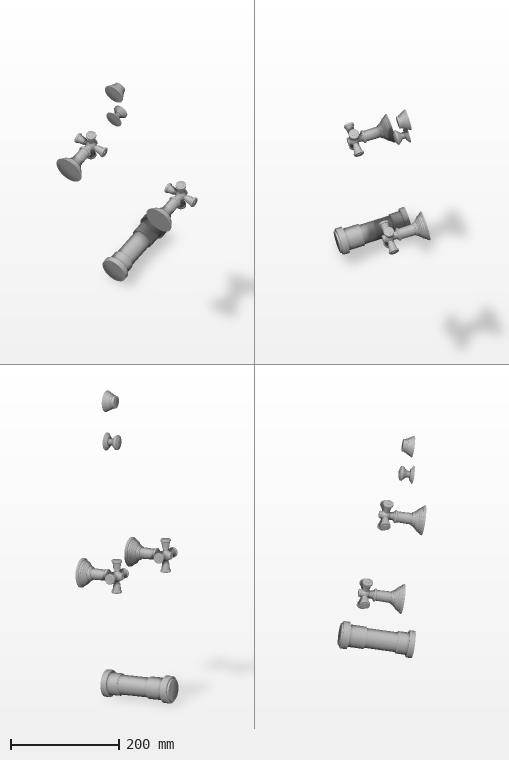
import cadquery as cq

OVERALL_WIDTH = 267.41
OVERALL_HEIGHT = 579.07
HANDLE_SPACING = 203.2
BARREL_TO_HANDLES = 228.6
HANDLES_TO_BUTTON = 228.6
BUTTON_TO_CONE = 76.2

BARREL_LENGTH = 138.3
FLANGE_RADIUS = 25.6
FRONT_FLANGE_RADIUS = 25.5
COLLAR_RADIUS = 20.9
TUBE_RADIUS = 18.5
FRONT_FLANGE_LENGTH = 11.0
FRONT_COLLAR_END = 32.0
REAR_COLLAR_START = 91.0
REAR_FLANGE_START = 122.3
REAR_FLANGE_END = 135.2
BARREL_CHAMFER = 1.3

CONE_HEIGHT = 20.0
CONE_STUB_RADIUS = 11.6
CONE_STUB_START = 15.0
CONE_SHOULDER_RADIUS = 13.2
CONE_TOP_RADIUS = 14.2
CONE_TOP = 11.8
CONE_LIP = 1.0

BUTTON_BASE_RADIUS = 16.8
BUTTON_BASE_LIP = 0.9
BUTTON_BASE_TOP_RADIUS = 10.5
BUTTON_BASE_TOP = 6.2
BUTTON_NECK_RADIUS = 6.4
BUTTON_NECK_END = 14.0
BUTTON_HEAD_START_RADIUS = 7.6
BUTTON_RIM_START = 20.6
BUTTON_RIM_END = 24.0
BUTTON_RIM_RADIUS = 13.8
BUTTON_CROWN_RADIUS = 10.8
BUTTON_CROWN_START = 25.4
BUTTON_TIP_RADIUS = 6.2
BUTTON_HEIGHT = 27.0

BASE_RADIUS = 27.8
BASE_LIP = 1.6
BASE_SHOULDER_RADIUS = 25.6
BASE_SHOULDER = 4.4
STEP_RADIUS = 24.0
STEP_END = 8.0
STEP_BEVEL = 1.2
UPPER_STEP_RADIUS = 22.0
UPPER_STEP_END = 10.2
FLARE_START_RADIUS = 20.6
FLARE_START = 11.0
FLARE_END_RADIUS = 15.2
FLARE_END = 16.8
BAND_RADIUS = 14.0
BAND_BEVEL_START = 18.8
BAND_TOP_RADIUS = 13.2
BAND_END = 20.5
FOOT_RADIUS = 12.3
FOOT_END = 22.5

STEM_BOTTOM_RADIUS = 10.7
STEM_TOP_RADIUS = 10.1
CUFF_RADIUS = 12.2
CUFF_START = 50.4
CUFF_END = 55.0
CUFF_CHAMFER = 1.2
CUFF_TAPER_RADIUS = 9.0
CUFF_TAPER_END = 57.0
STEM_NECK_RADIUS = 7.4

HUB_RADIUS = 10.5
HUB_CENTRE = 71.7
HUB_CAP_RADIUS = 7.0
HANDLE_LENGTH = 83.8
HUB_CAP_CHAMFER = 1.0

ARM_REACH = (OVERALL_WIDTH - HANDLE_SPACING) / 2
ARM_NECK_RADIUS = 4.8
ARM_NECK_END = 13.2
ARM_BEAD_RADIUS = 6.3
ARM_BEAD_END = 15.2
ARM_START_RADIUS = 6.6
ARM_END_RADIUS = 8.0
ARM_RIM_START = 26.4
ARM_RIM_RADIUS = 9.7
ARM_RIM_END = 31.2
ARM_RIM_CHAMFER = 0.9
ARM_TIP_RADIUS = 4.4
ARM_COUNT = 4

BARREL_Z = FLANGE_RADIUS - OVERALL_HEIGHT / 2
HANDLE_Z = BARREL_Z + BARREL_TO_HANDLES
BUTTON_Z = HANDLE_Z + HANDLES_TO_BUTTON
CONE_Z = BUTTON_Z + BUTTON_TO_CONE
CONE_BASE_RADIUS = OVERALL_HEIGHT / 2 - CONE_Z


def turned(*points):
    """Solid of revolution about +Y; points are (radius, distance along the axis)."""
    start = (0, points[0][1])
    end = (0, points[-1][1])
    half_profile = cq.Workplane("ZY").polyline([start, *points, end]).close()
    return half_profile.revolve(360, (0, 0, 0), (0, 1, 0))


def make_barrel():
    return turned(
        (FRONT_FLANGE_RADIUS, 0),
        (FRONT_FLANGE_RADIUS, FRONT_FLANGE_LENGTH - BARREL_CHAMFER),
        (FRONT_FLANGE_RADIUS - BARREL_CHAMFER, FRONT_FLANGE_LENGTH),
        (COLLAR_RADIUS, FRONT_FLANGE_LENGTH),
        (COLLAR_RADIUS, FRONT_COLLAR_END - BARREL_CHAMFER),
        (COLLAR_RADIUS - BARREL_CHAMFER, FRONT_COLLAR_END),
        (TUBE_RADIUS, FRONT_COLLAR_END),
        (TUBE_RADIUS, REAR_COLLAR_START),
        (COLLAR_RADIUS, REAR_COLLAR_START),
        (COLLAR_RADIUS, REAR_FLANGE_START),
        (FLANGE_RADIUS, REAR_FLANGE_START),
        (FLANGE_RADIUS, REAR_FLANGE_END - BARREL_CHAMFER),
        (FLANGE_RADIUS - BARREL_CHAMFER, REAR_FLANGE_END),
        (COLLAR_RADIUS, REAR_FLANGE_END),
        (COLLAR_RADIUS, BARREL_LENGTH),
    )


def make_cone_knob():
    return turned(
        (CONE_BASE_RADIUS, 0),
        (CONE_BASE_RADIUS, CONE_LIP),
        (CONE_TOP_RADIUS, CONE_TOP),
        (CONE_SHOULDER_RADIUS, CONE_TOP),
        (CONE_SHOULDER_RADIUS, CONE_STUB_START),
        (CONE_STUB_RADIUS, CONE_STUB_START),
        (CONE_STUB_RADIUS, CONE_HEIGHT),
    )


def make_button_knob():
    return turned(
        (BUTTON_BASE_RADIUS, 0),
        (BUTTON_BASE_RADIUS, BUTTON_BASE_LIP),
        (BUTTON_BASE_TOP_RADIUS, BUTTON_BASE_TOP),
        (BUTTON_NECK_RADIUS, BUTTON_BASE_TOP),
        (BUTTON_NECK_RADIUS, BUTTON_NECK_END),
        (BUTTON_HEAD_START_RADIUS, BUTTON_NECK_END),
        (BUTTON_RIM_RADIUS, BUTTON_RIM_START),
        (BUTTON_RIM_RADIUS, BUTTON_RIM_END),
        (BUTTON_CROWN_RADIUS, BUTTON_CROWN_START),
        (BUTTON_TIP_RADIUS, BUTTON_HEIGHT),
    )


def make_pedestal():
    """Escutcheon and stem of a handle, up to the hub centre."""
    return turned(
        (BASE_RADIUS, 0),
        (BASE_RADIUS, BASE_LIP),
        (BASE_SHOULDER_RADIUS, BASE_SHOULDER),
        (STEP_RADIUS, BASE_SHOULDER),
        (STEP_RADIUS, STEP_END - STEP_BEVEL),
        (STEP_RADIUS - STEP_BEVEL, STEP_END),
        (UPPER_STEP_RADIUS, STEP_END),
        (UPPER_STEP_RADIUS, UPPER_STEP_END),
        (FLARE_START_RADIUS, FLARE_START),
        (FLARE_END_RADIUS, FLARE_END),
        (BAND_RADIUS, FLARE_END),
        (BAND_RADIUS, BAND_BEVEL_START),
        (BAND_TOP_RADIUS, BAND_END),
        (FOOT_RADIUS, BAND_END),
        (FOOT_RADIUS, FOOT_END),
        (STEM_BOTTOM_RADIUS, FOOT_END),
        (STEM_TOP_RADIUS, CUFF_START),
        (CUFF_RADIUS - CUFF_CHAMFER, CUFF_START),
        (CUFF_RADIUS, CUFF_START + CUFF_CHAMFER),
        (CUFF_RADIUS, CUFF_END - CUFF_CHAMFER),
        (CUFF_RADIUS - CUFF_CHAMFER, CUFF_END),
        (CUFF_TAPER_RADIUS, CUFF_END),
        (CUFF_TAPER_RADIUS, CUFF_TAPER_END),
        (STEM_NECK_RADIUS, CUFF_TAPER_END),
        (STEM_NECK_RADIUS, HUB_CENTRE),
    )


def make_hub():
    """Ball with a flat cap on its outer end."""
    ball = cq.Workplane("XY").sphere(HUB_RADIUS).translate((0, HUB_CENTRE, 0))
    cap = turned(
        (HUB_CAP_RADIUS, HUB_CENTRE),
        (HUB_CAP_RADIUS, HANDLE_LENGTH - HUB_CAP_CHAMFER),
        (HUB_CAP_RADIUS - HUB_CAP_CHAMFER, HANDLE_LENGTH),
    )
    return ball.union(cap)


def make_arm():
    """One arm along +Y, starting at the origin."""
    return turned(
        (ARM_NECK_RADIUS, 0),
        (ARM_NECK_RADIUS, ARM_NECK_END),
        (ARM_BEAD_RADIUS, ARM_NECK_END),
        (ARM_BEAD_RADIUS, ARM_BEAD_END),
        (ARM_START_RADIUS, ARM_BEAD_END),
        (ARM_END_RADIUS, ARM_RIM_START),
        (ARM_RIM_RADIUS - ARM_RIM_CHAMFER, ARM_RIM_START),
        (ARM_RIM_RADIUS, ARM_RIM_START + ARM_RIM_CHAMFER),
        (ARM_RIM_RADIUS, ARM_RIM_END - ARM_RIM_CHAMFER),
        (ARM_RIM_RADIUS - ARM_RIM_CHAMFER, ARM_RIM_END),
        (ARM_TIP_RADIUS, ARM_RIM_END),
        (ARM_TIP_RADIUS, ARM_REACH),
    )


def make_handle():
    handle = make_pedestal().union(make_hub())
    upright_arm = make_arm().rotate((0, 0, 0), (1, 0, 0), 90).translate((0, HUB_CENTRE, 0))
    for index in range(ARM_COUNT):
        handle = handle.union(upright_arm.rotate((0, 0, 0), (0, 1, 0), index * 360 / ARM_COUNT))
    return handle


barrel = make_barrel().translate((0, 0, BARREL_Z))
button_knob = make_button_knob().translate((0, 0, BUTTON_Z))
cone_knob = make_cone_knob().translate((0, 0, CONE_Z))
handles = []
for side in (-1, 1):
    handles.append(make_handle().translate((side * HANDLE_SPACING / 2, 0, HANDLE_Z)))

result = cq.Compound.makeCompound(
    [barrel.val(), *[handle.val() for handle in handles], button_knob.val(), cone_knob.val()]
)